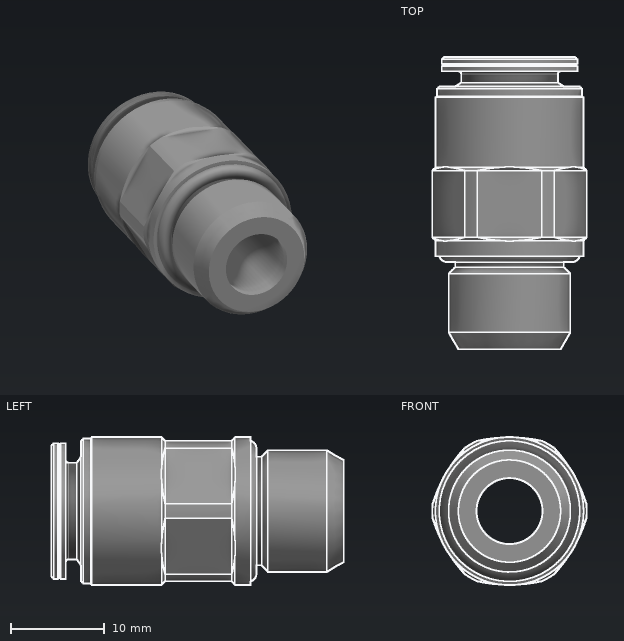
import cadquery as cq

length = 31.15
bore_dia = 7.0

spigot_dia = 13.0
spigot_tip_dia = 10.9
spigot_tip_length = 1.8
spigot_end = 8.07
undercut_dia = 11.6
undercut_start = 8.75

seal_dia = 15.05
seal_start = 9.3

body_dia = 15.8
body_start = 9.9
hex_start = 11.93
hex_end = 19.05
body_end = 26.95
body_chamfer = 0.12
hex_across_flats = 15.0
hex_corner_dia = 16.48
hex_bevel = 0.35
hex_sides = 6
flat_cut_depth = 0.95

cap_dia = 15.5
cap_end = 28.0
cap_chamfer = 0.28

neck_dia = 10.35
neck_flare_dia = 11.6
neck_start = 28.42
collar_dia = 14.5
collar_start = 29.6
collar_chamfer = 0.28
collar_fillet = 0.25
collar_groove_center = 30.3
collar_groove_depth = 0.15


def revolve_profile(points):
    """Revolve (radius, y) points, closed through the Y axis, around that axis."""
    first_y = points[0][1]
    last_y = points[-1][1]
    outline = [(0, first_y)] + points + [(0, last_y)]
    return cq.Workplane("XY").polyline(outline).close().revolve(360, (0, 0, 0), (0, 1, 0))


def cylinder(diameter, start, end):
    return revolve_profile([(diameter / 2, start), (diameter / 2, end)])


def beveled_cylinder(diameter, start, end, bevel):
    """Cylinder with both end edges chamfered."""
    return cylinder(diameter, start, end).faces("<Y or >Y").chamfer(bevel)


def make_spigot():
    return revolve_profile([
        (spigot_tip_dia / 2, 0),
        (spigot_dia / 2, spigot_tip_length),
        (spigot_dia / 2, spigot_end),
        (undercut_dia / 2, undercut_start),
        (undercut_dia / 2, body_start),
    ])


def make_seal():
    """O-ring filling the space between the undercut and its own outer diameter."""
    section_radius = (seal_dia - undercut_dia) / 4
    ring_radius = (seal_dia + undercut_dia) / 4
    return (
        cq.Workplane("XY", origin=(ring_radius, seal_start + section_radius, 0))
        .circle(section_radius)
        .revolve(360, (-ring_radius, 0, 0), (-ring_radius, 1, 0))
    )


def make_flat_cutter():
    """Prism that mills one wrench flat, with ends sloping out at 45 degrees."""
    flat_height = hex_across_flats / 2
    top_height = flat_height + flat_cut_depth
    return (
        cq.Workplane("YZ")
        .polyline([
            (hex_start, flat_height),
            (hex_end, flat_height),
            (hex_end + flat_cut_depth, top_height),
            (hex_start - flat_cut_depth, top_height),
        ])
        .close()
        .extrude(hex_corner_dia / 2, both=True)
    )


def make_body():
    """Round body with a raised, beveled band milled into a hexagon."""
    band = beveled_cylinder(
        hex_corner_dia, hex_start - hex_bevel, hex_end + hex_bevel, hex_bevel
    )
    barrel = cylinder(body_dia, body_start, body_end).faces(">Y").chamfer(body_chamfer)
    body = barrel.union(band)
    cutter = make_flat_cutter()
    for side in range(hex_sides):
        body = body.cut(cutter.rotate((0, 0, 0), (0, 1, 0), side * 360 / hex_sides))
    return body


def make_cap():
    return cylinder(cap_dia, body_end, cap_end).faces(">Y").chamfer(cap_chamfer)


def make_collar():
    """Flared neck carrying a chamfered disc with a V groove around its rim."""
    neck = revolve_profile([
        (neck_flare_dia / 2, cap_end),
        (neck_dia / 2, neck_start),
        (neck_dia / 2, collar_start),
    ])
    rim = collar_dia / 2
    disc = revolve_profile([
        (rim, collar_start),
        (rim, collar_groove_center - collar_groove_depth),
        (rim - collar_groove_depth, collar_groove_center),
        (rim, collar_groove_center + collar_groove_depth),
        (rim, length - collar_chamfer),
        (rim - collar_chamfer, length),
    ])
    collar = neck.union(disc)
    near_disc_face = cq.selectors.BoxSelector(
        (-neck_dia, collar_start - collar_fillet, -neck_dia),
        (neck_dia, collar_start + collar_fillet, neck_dia),
    )
    smallest_circle = cq.selectors.RadiusNthSelector(0)
    return collar.edges(near_disc_face).edges(smallest_circle).fillet(collar_fillet)


result = (
    make_spigot()
    .union(make_seal())
    .union(make_body())
    .union(make_cap())
    .union(make_collar())
    .cut(cylinder(bore_dia, 0, length))
)